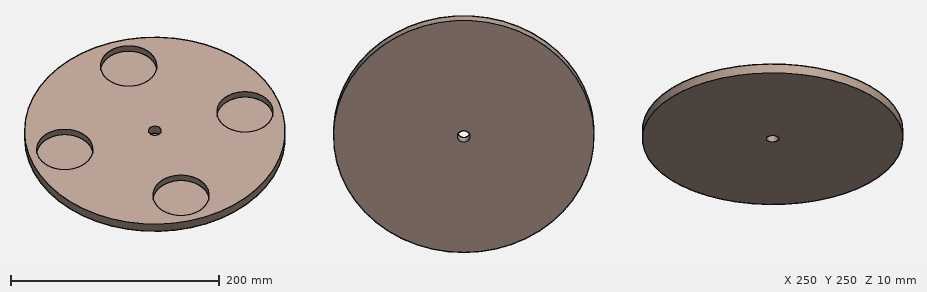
import cadquery as cq

disc_diameter = 250.0
disc_thickness = 10.0

bore_diameter = 12.0

pocket_count = 4
pocket_diameter = 54.0
pocket_depth = 7.5
pocket_circle_radius = 90.0

disc = cq.Workplane("XY").circle(disc_diameter / 2).extrude(disc_thickness)

bored_disc = disc.faces(">Z").workplane().hole(bore_diameter)

result = (
    bored_disc.faces(">Z")
    .workplane()
    .polarArray(pocket_circle_radius, 0, 360, pocket_count)
    .hole(pocket_diameter, pocket_depth)
)